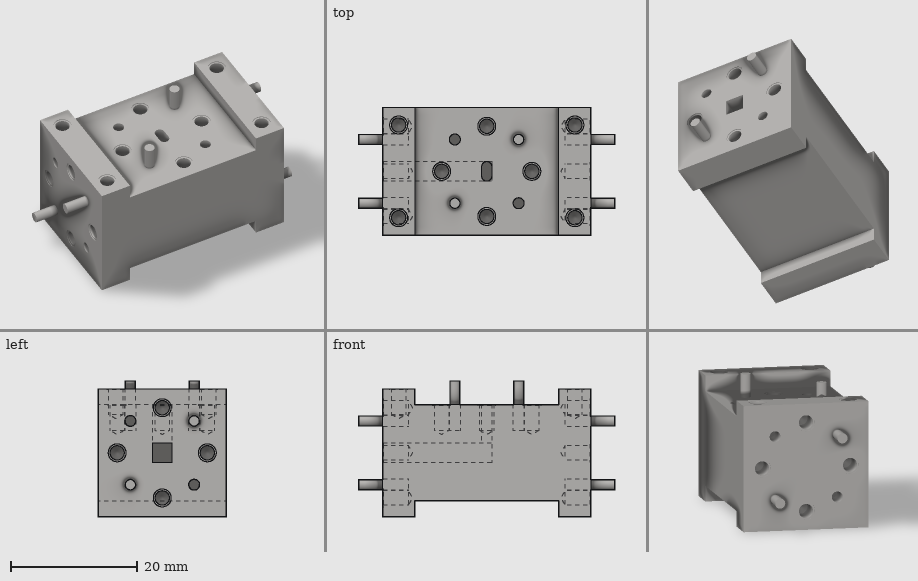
import cadquery as cq
import math

overall_length = 40.65
overall_height = 21.6
body_length = 33.0
body_width = 20.3
body_height = 20.3
flange_thickness = 5.1
recess_depth = 2.5

bolt_circle_radius = 7.15
dowel_offset = bolt_circle_radius * math.sin(math.radians(45))

counterbore_diameter = 2.85
counterbore_depth = 0.12
drill_diameter = 2.28
screw_depth = 4.05
drill_point_angle = 118.0
corner_screw_x = 14.0
corner_screw_y = 7.35

pin_diameter = 1.63
dowel_hole_diameter = 1.75
dowel_hole_depth = 4.05
end_pin_height = (overall_length - body_length) / 2
deck_pin_height = overall_height - body_height + recess_depth

channel_size = 3.1
slot_length = 3.1
slot_width = 1.63

half_length = body_length / 2
half_height = body_height / 2
deck_z = half_height - recess_depth

left_face = cq.Plane(origin=(-half_length, 0, 0), xDir=(0, -1, 0), normal=(-1, 0, 0))
right_face = cq.Plane(origin=(half_length, 0, 0), xDir=(0, 1, 0), normal=(1, 0, 0))
deck_face = cq.Plane(origin=(0, 0, deck_z), xDir=(1, 0, 0), normal=(0, 0, 1))
flange_top = cq.Plane(origin=(0, 0, half_height), xDir=(1, 0, 0), normal=(0, 0, 1))

screw_circle = [
    (bolt_circle_radius, 0),
    (0, bolt_circle_radius),
    (-bolt_circle_radius, 0),
    (0, -bolt_circle_radius),
]
pin_points = [(dowel_offset, dowel_offset), (-dowel_offset, -dowel_offset)]
dowel_hole_points = [(-dowel_offset, dowel_offset), (dowel_offset, -dowel_offset)]
corner_points = [(sx * corner_screw_x, sy * corner_screw_y) for sx in (-1, 1) for sy in (-1, 1)]


def make_body():
    """Block with a full-width recess across its top and bottom."""
    body = cq.Workplane("XY").box(body_length, body_width, body_height)
    recess_length = body_length - 2 * flange_thickness
    for side in (-1, 1):
        recess = cq.Workplane("XY").box(recess_length, body_width, recess_depth)
        body = body.cut(recess.translate((0, 0, side * (half_height - recess_depth / 2))))
    return body


def screw_holes(face, points):
    """Blind drilled holes with a counterbored mouth and a conical bottom."""
    outer = counterbore_diameter / 2
    inner = drill_diameter / 2
    tip_depth = screw_depth + inner / math.tan(math.radians(drill_point_angle / 2))
    profile = [
        (0, 0),
        (outer, 0),
        (outer, -counterbore_depth),
        (inner, -counterbore_depth),
        (inner, -screw_depth),
        (0, -tip_depth),
    ]
    hole = cq.Workplane("XZ").polyline(profile).close().revolve(360, (0, 0), (0, 1)).val()
    return cq.Workplane(face).pushPoints(points).eachpoint(hole, useLocalCoordinates=True)


def add_flange_pattern(body, face, pin_height):
    """Four screw holes, two empty dowel holes and two dowel pins."""
    dowel_holes = (
        cq.Workplane(face)
        .pushPoints(dowel_hole_points)
        .circle(dowel_hole_diameter / 2)
        .extrude(-dowel_hole_depth)
    )
    pins = (
        cq.Workplane(face)
        .workplane(offset=-dowel_hole_depth)
        .pushPoints(pin_points)
        .circle(pin_diameter / 2)
        .extrude(dowel_hole_depth + pin_height)
    )
    return body.cut(screw_holes(face, screw_circle)).cut(dowel_holes).union(pins)


result = make_body()
for end_face in (left_face, right_face):
    result = add_flange_pattern(result, end_face, end_pin_height)
result = add_flange_pattern(result, deck_face, deck_pin_height)
result = result.cut(screw_holes(flange_top, corner_points))

channel_depth = half_length + slot_width / 2
result = result.cut(cq.Workplane(left_face).rect(channel_size, channel_size).extrude(-channel_depth))

result = result.cut(cq.Workplane(deck_face).slot2D(slot_length, slot_width, 90).extrude(-deck_z))